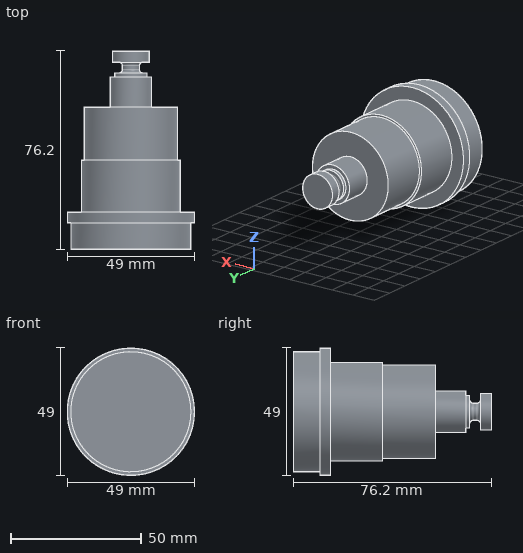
import cadquery as cq

length = 76.15
cap_end = 10.2
flange_end = 14.3
body_end = 34.3
barrel_end = 54.7
stem_end = 66.25
collar_end = 67.8
knob_start = 71.9

cap_diameter = 46.15
flange_diameter = 49.0
body_diameter = 38.0
barrel_diameter = 36.0
stem_diameter = 16.0
collar_diameter = 12.6
neck_diameter = 6.7
knob_diameter = 14.2

neck_fillet = 1.3


def cylinder(diameter, start, end):
    """Solid disc or shaft on the Y axis between two axial positions."""
    return cq.Workplane("XZ", origin=(0, start, 0)).circle(diameter / 2).extrude(start - end)


def filleted_neck():
    """Narrow neck that flares in a quarter circle into the collar and the knob."""
    neck_radius = neck_diameter / 2
    flare_radius = neck_radius + neck_fillet
    arc_offset = neck_fillet / 2**0.5
    collar_center = collar_end + neck_fillet
    knob_center = knob_start - neck_fillet
    return (
        cq.Workplane("XY")
        .moveTo(0, collar_end)
        .lineTo(flare_radius, collar_end)
        .threePointArc((flare_radius - arc_offset, collar_center - arc_offset), (neck_radius, collar_center))
        .lineTo(neck_radius, knob_center)
        .threePointArc((flare_radius - arc_offset, knob_center + arc_offset), (flare_radius, knob_start))
        .lineTo(0, knob_start)
        .close()
        .revolve(360, (0, 0, 0), (0, 1, 0))
    )


sections = [
    (flange_diameter, cap_end, flange_end),
    (body_diameter, flange_end, body_end),
    (barrel_diameter, body_end, barrel_end),
    (stem_diameter, barrel_end, stem_end),
    (collar_diameter, stem_end, collar_end),
]

result = cylinder(cap_diameter, 0, cap_end)
for diameter, start, end in sections:
    result = result.union(cylinder(diameter, start, end))
result = result.union(filleted_neck())
result = result.union(cylinder(knob_diameter, knob_start, length))